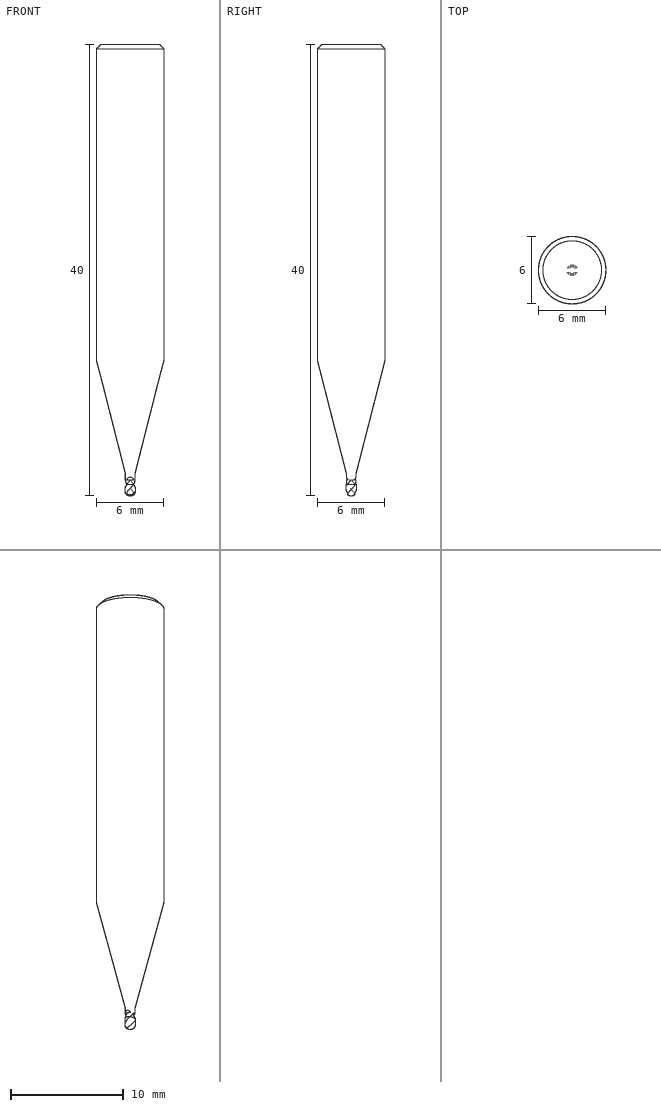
import cadquery as cq
import math

total_length = 40.0
shank_diameter = 6.0
shank_chamfer = 0.4
cone_top = 12.0
cone_bottom = 2.0

neck_radius = 0.45
runout_top = 1.7
runout_bottom = 1.45

head_length = 1.05
head_radius = 0.5
web_thickness = 0.6
twist_per_unit = 112.5

shank_radius = shank_diameter / 2
web_half_thickness = web_thickness / 2


def twisted_web(bottom, top):
    """Helical bar between the flutes; its wide direction is along Y at the head's top."""
    height = top - bottom
    start_angle = (bottom - head_length) * twist_per_unit
    return (
        cq.Workplane("XY")
        .rect(web_thickness, 4 * head_radius)
        .twistExtrude(height, height * twist_per_unit)
        .rotate((0, 0, 0), (0, 0, 1), start_angle)
        .translate((0, 0, bottom))
    )


def round_shank():
    """Chamfered shank, cone and plain neck, down to the full depth of the flutes."""
    return (
        cq.Workplane("YZ")
        .moveTo(0, runout_bottom)
        .lineTo(-neck_radius, runout_bottom)
        .lineTo(-neck_radius, cone_bottom)
        .lineTo(-shank_radius, cone_top)
        .lineTo(-shank_radius, total_length - shank_chamfer)
        .lineTo(-(shank_radius - shank_chamfer), total_length)
        .lineTo(0, total_length)
        .close()
        .revolve(360, (0, 0, 0), (0, 1, 0))
    )


def flute_runout(side):
    """Wedge on one Y side that slopes from the full flute depth up to the neck's surface."""
    return (
        cq.Workplane("YZ")
        .moveTo(side * web_half_thickness, runout_bottom)
        .lineTo(side * shank_radius, runout_bottom)
        .lineTo(side * shank_radius, runout_top)
        .lineTo(side * neck_radius, runout_top)
        .close()
        .extrude(2 * neck_radius, both=True)
    )


def fluted_neck():
    """Helical web between the cutting head and the flute runout."""
    envelope = (
        cq.Workplane("XY", origin=(0, 0, head_length))
        .circle(neck_radius)
        .extrude(runout_bottom - head_length)
    )
    return twisted_web(head_length, runout_bottom).intersect(envelope)


def make_shank():
    """Shank body, ending in the upper part of the flutes."""
    body = round_shank()
    for side in (-1, 1):
        body = body.cut(flute_runout(side))
    return body.union(fluted_neck())


def make_cutting_head():
    """Fluted cutter with a ball nose, slightly wider than the neck."""
    nose_offset = head_radius * math.sqrt(0.5)
    envelope = (
        cq.Workplane("XZ")
        .lineTo(0, head_length)
        .lineTo(head_radius, head_length)
        .lineTo(head_radius, head_radius)
        .threePointArc((nose_offset, head_radius - nose_offset), (0, 0))
        .close()
        .revolve(360, (0, 0, 0), (0, 1, 0))
    )
    return twisted_web(0, head_length).intersect(envelope)


shank = make_shank()
cutting_head = make_cutting_head()

result = cq.Compound.makeCompound([shank.solids().val(), cutting_head.solids().val()])